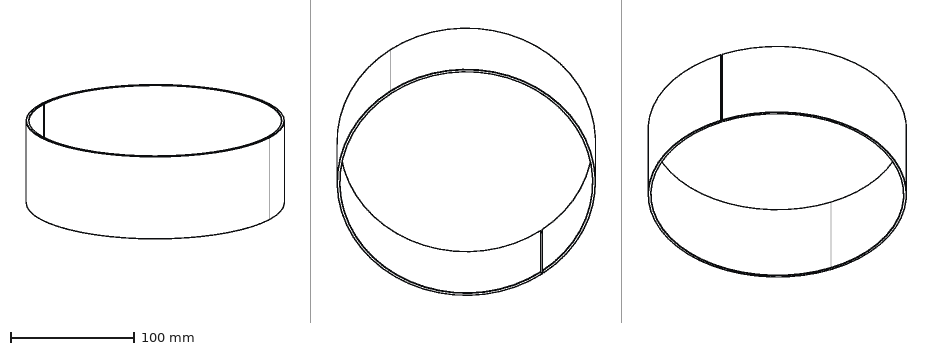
import cadquery as cq

outer_diameter = 210.0
height = 70.0
wall = 2.5
slit_width = 1.7
rim_chamfer = 0.5

outer_radius = outer_diameter / 2
inner_radius = outer_radius - wall


def make_band():
    """Thin-walled ring on the XY plane, its rims chamfered inside and out at both ends."""
    ring = cq.Workplane("XY").circle(outer_radius).circle(inner_radius).extrude(height)
    return ring.faces("<Z or >Z").edges().chamfer(rim_chamfer)


def make_slit():
    """Full-height cutter through the -X wall, with one face on the XZ plane."""
    return cq.Workplane("XY").box(outer_diameter, slit_width, height, centered=False).translate(
        (-outer_diameter, 0, 0)
    )


result = make_band().cut(make_slit())